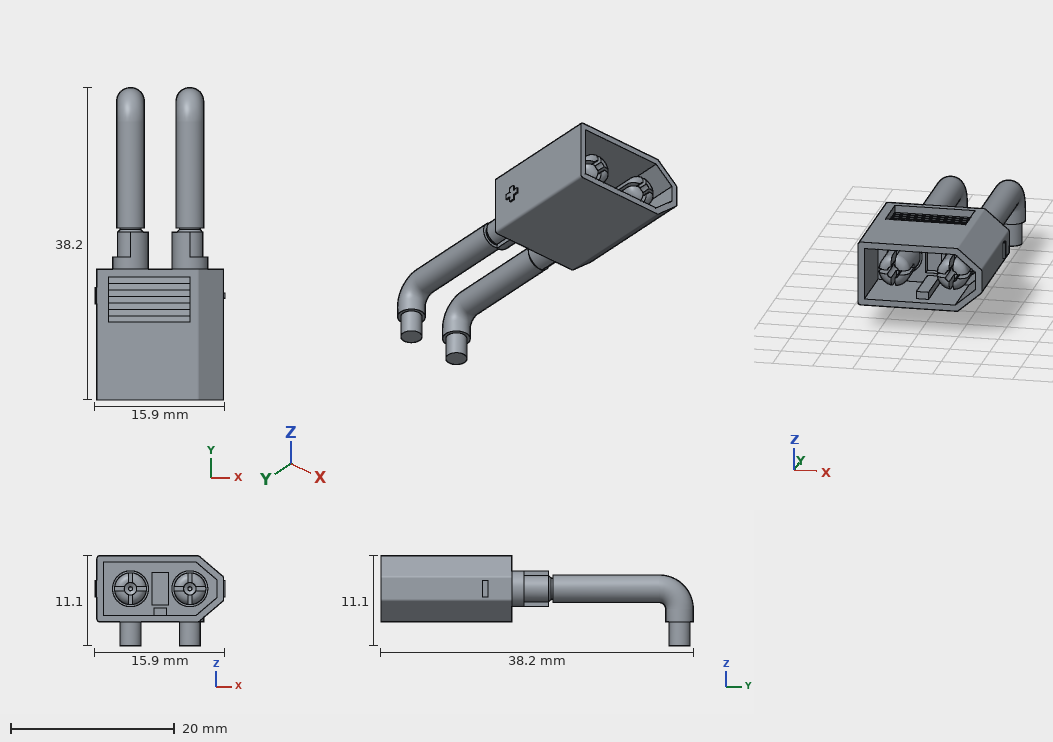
import cadquery as cq
import math

overall_length = 38.2
overall_height = 11.05
front_y = -overall_length / 2
top_z = overall_height / 2

housing_width = 15.5
housing_length = 16.0
housing_height = 8.1
nose_width = 3.05
nose_drop = 2.6
edge_radius = 0.4
wall = 0.8
cavity_depth = 8.0
left_x = -housing_width / 2
right_x = housing_width / 2
rear_y = front_y + housing_length
bottom_z = top_z - housing_height
floor_y = front_y + cavity_depth

contact_spacing = 7.25
axis_z = top_z - housing_height / 2
contact_sides = (-1, 1)

key_width = 1.53
key_height = 0.9
key_setback = 1.5
recess_width = 2.0
recess_height = 4.0
recess_depth = 1.0

pocket_width = 10.0
pocket_length = 5.5
pocket_depth = 0.9
pocket_rear_gap = 1.0
pocket_x = -1.35
tooth_count = 7
tooth_drop = 0.1

mark_length = 2.02
mark_width = 0.7
mark_height = 0.2
mark_rear_gap = 3.25

cup_diameter = 4.4
cup_bore_diameter = 3.2
cup_length = 4.5
cup_notch_length = 3.0
cup_bore_depth = cup_length
pin_diameter = 3.9
pin_setback = 1.25
pin_tip_diameter = 1.9
pin_bore_diameter = 1.53
pin_bore_depth = 3.8
pin_slot_width = 0.5
pin_slot_depth = 3.05
pilot_diameter = 0.5
pilot_depth = 0.4
drill_point_angle = 118.0
cup_rear_y = rear_y + cup_length

core_diameter = 2.6
jacket_diameter = 3.4
core_chamfer = (cup_bore_diameter - core_diameter) / 2
jacket_gap = 0.5
bend_radius = 2.5
jacket_leg = 1.55
core_leg = 2.95
jacket_start_y = cup_rear_y + jacket_gap
leg_y = overall_length / 2 - jacket_diameter / 2
bend_start_y = leg_y - bend_radius


def box(x_min, x_max, y_min, y_max, z_min, z_max):
    size = (x_max - x_min, y_max - y_min, z_max - z_min)
    return cq.Workplane("XY").box(*size, centered=False).translate((x_min, y_min, z_min))


def rod(diameter, x, y_min, y_max):
    """Cylinder along Y on a contact axis."""
    plane = cq.Plane((x, y_min, axis_z), (1, 0, 0), (0, 1, 0))
    return cq.Workplane(plane).circle(diameter / 2).extrude(y_max - y_min)


def turned(points_profile, x):
    """Revolve an (r, y) profile about a contact axis."""
    return points_profile.close().revolve(360, (0, 0, 0), (0, 1, 0)).translate((x, 0, axis_z))


def housing_outline(start_y):
    """Outline with a sloped nose, on an XZ plane that extrudes toward +Y from start_y."""
    plane = cq.Plane((0, start_y, 0), (-1, 0, 0), (0, 1, 0))
    half_height = housing_height / 2
    points = [
        (left_x, half_height),
        (right_x - nose_width, half_height),
        (right_x, half_height - nose_drop),
        (right_x, nose_drop - half_height),
        (right_x - nose_width, -half_height),
        (left_x, -half_height),
    ]
    return cq.Workplane(plane).polyline([(-x, axis_z + z) for x, z in points]).close()


def make_shell():
    shell = housing_outline(front_y).extrude(housing_length).edges("|Y").fillet(edge_radius)
    cavity = housing_outline(front_y).offset2D(-wall, "intersection").extrude(cavity_depth)
    return shell.cut(cavity)


def make_key():
    base_z = bottom_z + wall
    return box(-key_width / 2, key_width / 2, front_y + key_setback, floor_y, base_z, base_z + key_height)


def make_recess():
    return box(
        -recess_width / 2,
        recess_width / 2,
        floor_y,
        floor_y + recess_depth,
        axis_z - recess_height / 2,
        axis_z + recess_height / 2,
    )


def make_label_pocket():
    """Pocket whose floor is a row of shallow ramps, each falling toward +Y."""
    pocket_rear_y = rear_y - pocket_rear_gap
    pitch = pocket_length / tooth_count
    low_z = top_z - pocket_depth
    points = [(pocket_rear_y, top_z)]
    for i in range(tooth_count):
        tooth_rear_y = pocket_rear_y - i * pitch
        points.append((tooth_rear_y, low_z))
        points.append((tooth_rear_y - pitch, low_z + tooth_drop))
    points.append((pocket_rear_y - pocket_length, top_z))
    profile = cq.Workplane("YZ", origin=(pocket_x, 0, 0)).polyline(points).close()
    return profile.extrude(pocket_width / 2, both=True)


def make_side_bar(x_min, length_y, length_z):
    mark_y = rear_y - mark_rear_gap
    return box(
        x_min,
        x_min + mark_height,
        mark_y - length_y / 2,
        mark_y + length_y / 2,
        axis_z - length_z / 2,
        axis_z + length_z / 2,
    )


def make_housing():
    plus_x = left_x - mark_height
    plus = make_side_bar(plus_x, mark_width, mark_length).union(make_side_bar(plus_x, mark_length, mark_width))
    minus = make_side_bar(right_x, mark_width, mark_length)
    housing = make_shell().union(make_key()).union(plus).union(minus)
    housing = housing.cut(make_recess()).cut(make_label_pocket())
    for side in contact_sides:
        housing = housing.cut(rod(cup_diameter, side * contact_spacing / 2, floor_y, rear_y))
    return housing


def make_pin_profile():
    """Half profile of the slotted pin: straight shank with a rounded nose and a drilled tip."""
    pin_radius = pin_diameter / 2
    tip_radius = pin_tip_diameter / 2
    bore_radius = pin_bore_diameter / 2
    tip_y = front_y + pin_setback
    nose_radius = pin_radius - tip_radius
    nose_y = tip_y + nose_radius
    arc_middle = (
        tip_radius + nose_radius * math.cos(math.pi / 4),
        nose_y - nose_radius * math.sin(math.pi / 4),
    )
    bore_y = tip_y + pin_bore_depth
    pilot_radius = pilot_diameter / 2
    point_slope = 1 / math.tan(math.radians(drill_point_angle / 2))
    pilot_start_y = bore_y + (bore_radius - pilot_radius) * point_slope
    pilot_end_y = pilot_start_y + pilot_depth
    return (
        cq.Workplane("XY")
        .moveTo(0, floor_y)
        .lineTo(pin_radius, floor_y)
        .lineTo(pin_radius, nose_y)
        .threePointArc(arc_middle, (tip_radius, tip_y))
        .lineTo(bore_radius, tip_y)
        .lineTo(bore_radius, bore_y)
        .lineTo(pilot_radius, pilot_start_y)
        .lineTo(pilot_radius, pilot_end_y)
        .lineTo(0, pilot_end_y + pilot_radius * point_slope)
    )


def make_contact(side):
    x = side * contact_spacing / 2
    tip_y = front_y + pin_setback
    slot_end_y = tip_y + pin_slot_depth
    half_slot = pin_slot_width / 2
    reach = cup_diameter / 2
    pin = turned(make_pin_profile(), x)
    pin = pin.cut(box(x - reach, x + reach, tip_y, slot_end_y, axis_z - half_slot, axis_z + half_slot))
    pin = pin.cut(box(x - half_slot, x + half_slot, tip_y, slot_end_y, axis_z - reach, axis_z + reach))
    cup = rod(cup_diameter, x, floor_y, cup_rear_y)
    cup = cup.cut(rod(cup_bore_diameter, x, cup_rear_y - cup_bore_depth, cup_rear_y))
    outer_x = x + side * reach
    notch = box(
        min(x, outer_x),
        max(x, outer_x),
        cup_rear_y - cup_notch_length,
        cup_rear_y,
        axis_z - reach,
        axis_z + reach,
    )
    return pin.union(cup.cut(notch))


def make_wire(side):
    x = side * contact_spacing / 2
    bend_end_z = axis_z - bend_radius
    jacket_end_z = bend_end_z - jacket_leg
    solder = rod(cup_bore_diameter, x, cup_rear_y - cup_bore_depth, cup_rear_y + core_chamfer)
    solder = solder.faces(">Y").chamfer(core_chamfer)
    core = rod(core_diameter, x, cup_rear_y, jacket_start_y)
    jacket = rod(jacket_diameter, x, jacket_start_y, bend_start_y)
    bend_plane = cq.Plane((x, bend_start_y, axis_z), (-1, 0, 0), (0, 1, 0))
    bend = cq.Workplane(bend_plane).circle(jacket_diameter / 2)
    bend = bend.revolve(90, (-0.4, -bend_radius, 0), (0.4, -bend_radius, 0))
    leg_end = cq.Workplane("XY", origin=(x, leg_y, jacket_end_z))
    leg = leg_end.circle(jacket_diameter / 2).extrude(jacket_leg)
    bare_end = leg_end.circle(core_diameter / 2).extrude(-core_leg)
    return solder.union(core).union(jacket).union(bend).union(leg).union(bare_end)


housing = make_housing()
contacts = [make_contact(side) for side in contact_sides]
wires = [make_wire(side) for side in contact_sides]

result = cq.Compound.makeCompound(
    [housing.val(), *[contact.val() for contact in contacts], *[wire.val() for wire in wires]]
)